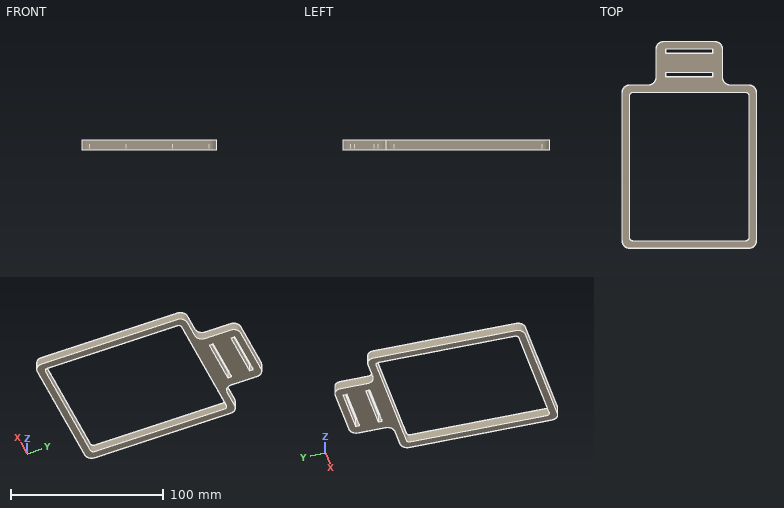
import cadquery as cq

frame_width = 88.2
total_length = 135.8
thickness = 6.7

frame_length = 107.2
wall = 5.0
outer_radius = 5.0
window_radius = 2.0

tab_width = 43.7
tab_length = total_length - frame_length

slot_length = 30.7
slot_width = 2.6
slot_end_margin = 5.0
slot_pitch = 15.5
slot_count = 2

frame_bottom = -total_length / 2
frame_top = frame_bottom + frame_length
tab_top = total_length / 2
frame_center_y = (frame_bottom + frame_top) / 2


def block(width, length, center_y):
    """Full-thickness block centred on X = 0 and Z = 0."""
    return cq.Workplane("XY").box(width, length, thickness).translate((0, center_y, 0))


def make_outline():
    """Frame and tab joined, with the outer and junction corners rounded alike."""
    frame = block(frame_width, frame_length, frame_center_y)
    tab = block(tab_width, tab_length + wall, tab_top - (tab_length + wall) / 2)
    return frame.union(tab).clean().edges("|Z").fillet(outer_radius)


def make_window():
    """Opening that leaves an even wall around the frame."""
    window = block(frame_width - 2 * wall, frame_length - 2 * wall, frame_center_y)
    return window.edges("|Z").fillet(window_radius)


result = make_outline().cut(make_window())
for slot_index in range(slot_count):
    slot_y = tab_top - slot_end_margin - slot_width / 2 - slot_index * slot_pitch
    result = result.cut(block(slot_length, slot_width, slot_y))